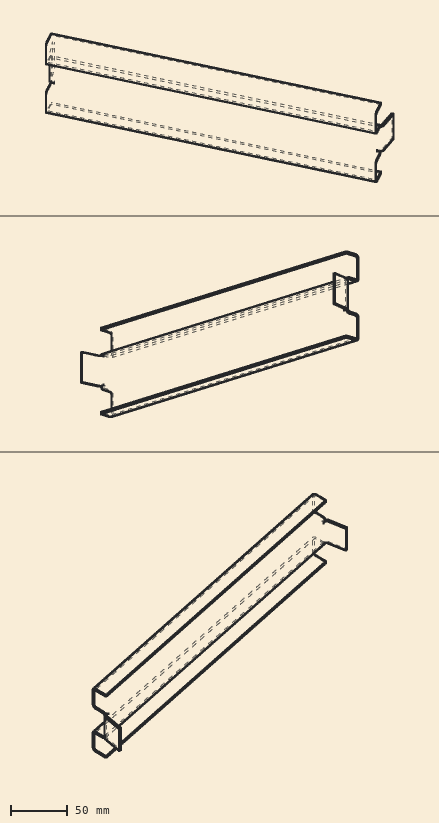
import cadquery as cq
import math

total_length = 317.0
total_depth = 35.0
total_height = 80.0

sheet = 2.0
inner_radius = 2.0
outer_radius = inner_radius + sheet
section_length = 306.2
section_depth = 15.2
channel_height = 25.0

tab_height = 28.0
tab_root_length = 1.5
tab_lean = math.radians(10)
fold_angle = math.pi / 2 - tab_lean

half_height = total_height / 2
arm_z = half_height - channel_height
web_front = section_depth - sheet

tip_outer_x = total_length / 2
tip_outer_y = total_depth - sheet * math.sin(tab_lean)
fold_end_y = web_front + outer_radius * (1 - math.cos(fold_angle))
fold_end_x = tip_outer_x - (tip_outer_y - fold_end_y) * math.tan(tab_lean)
fold_start_x = fold_end_x - outer_radius * math.sin(fold_angle)
root_x = fold_start_x - tab_root_length


def make_channel():
    """Upper channel, open at the back, ending in the bend that meets the web."""
    bend_y = section_depth - outer_radius
    bend_z = arm_z - inner_radius
    arm_inner_z = arm_z + sheet
    lip_inner_z = half_height - sheet
    profile = (
        cq.Workplane("YZ")
        .moveTo(section_depth, half_height)
        .lineTo(outer_radius, half_height)
        .radiusArc((0, half_height - outer_radius), -outer_radius)
        .lineTo(0, arm_z + outer_radius)
        .radiusArc((outer_radius, arm_z), -outer_radius)
        .lineTo(bend_y, arm_z)
        .radiusArc((bend_y + inner_radius, bend_z), inner_radius)
        .lineTo(section_depth, bend_z)
        .radiusArc((bend_y, arm_inner_z), -outer_radius)
        .lineTo(outer_radius, arm_inner_z)
        .radiusArc((sheet, arm_z + outer_radius), inner_radius)
        .lineTo(sheet, half_height - outer_radius)
        .radiusArc((outer_radius, lip_inner_z), inner_radius)
        .lineTo(section_depth, lip_inner_z)
        .close()
    )
    return profile.extrude(section_length / 2, both=True)


def make_web():
    """Flat strip joining the channels between the two end folds."""
    web_height = 2 * (arm_z - inner_radius)
    return cq.Workplane("XY").box(2 * fold_start_x, sheet, web_height).translate((0, web_front + sheet / 2, 0))


def make_tab():
    """Right-hand tab: a short flat root set into the web, a fold, then a straight leaning leaf."""
    fold_center_y = web_front + outer_radius

    def fold_point(radius, angle):
        return (fold_start_x + radius * math.sin(angle), fold_center_y - radius * math.cos(angle))

    tip_inner = (tip_outer_x - sheet * math.cos(tab_lean), total_depth)
    profile = (
        cq.Workplane("XY")
        .moveTo(root_x, web_front)
        .lineTo(fold_start_x, web_front)
        .threePointArc(fold_point(outer_radius, fold_angle / 2), (fold_end_x, fold_end_y))
        .lineTo(tip_outer_x, tip_outer_y)
        .lineTo(*tip_inner)
        .lineTo(*fold_point(inner_radius, fold_angle))
        .threePointArc(fold_point(inner_radius, fold_angle / 2), (fold_start_x, section_depth))
        .lineTo(root_x, section_depth)
        .close()
    )
    return profile.extrude(tab_height / 2, both=True)


def make_notch():
    """Right-hand clearance, as tall as the tab, that frees the fold from the web bends."""
    notch_length = section_length / 2 - root_x
    notch = cq.Workplane("XY").box(notch_length, section_depth, tab_height)
    return notch.translate((root_x + notch_length / 2, section_depth / 2, 0))


channel = make_channel()
section = make_web().union(channel).union(channel.mirror("XY"))

notch = make_notch()
section = section.cut(notch).cut(notch.mirror("YZ"))

tab = make_tab()
result = section.union(tab).union(tab.mirror("YZ"))